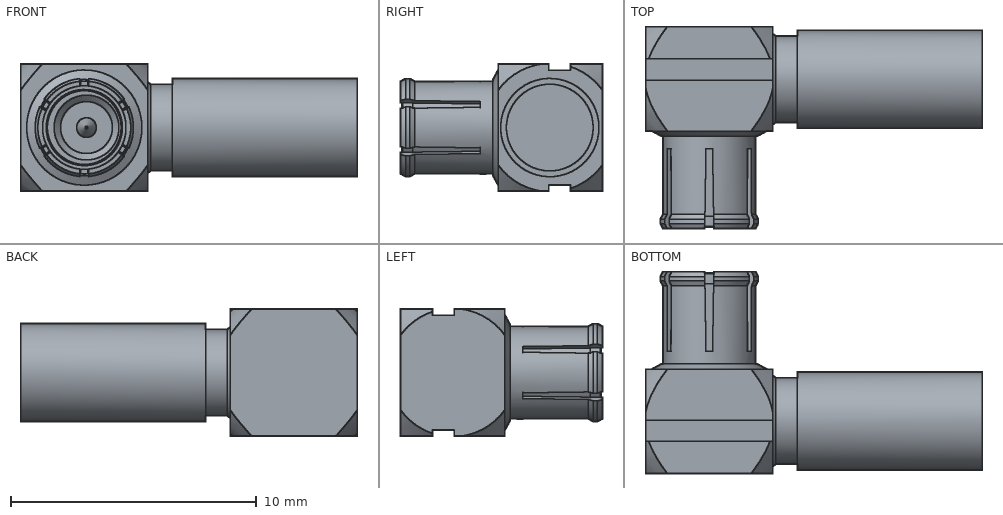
import cadquery as cq
import math


block_width = 5.18
block_depth = 4.25
corner_face_radius = 2.61
corner_cone_angle = 40
groove_width = 0.87
groove_depth = 0.25
groove_center_y = 0.38

cable_axis_y = -0.02
stem_radius = 1.765
stem_root_radius = 1.85
stem_root_length = 0.115
ferrule_radius = 2.0
ferrule_start_x = 3.58
overall_length = 13.7

overall_depth = 8.22
collar_root_radius = 2.345
collar_end_radius = 1.96
collar_length = 0.21
barrel_radius = 1.89
ridge_radius = 2.0
ridge_back_setback = 0.585
ridge_top_back_setback = 0.385
ridge_top_front_setback = 0.205

slot_count = 6
slot_root_width = 0.27
slot_tip_width = 0.37
slot_length = 3.25
finger_inner_radius = 1.7
nose_radius = 1.55
nose_chamfer = 0.05
nose_setback = 0.05
finger_gap_depth = 0.495

bore_offset_x = 0.09
bore_radius = 1.055
bore_mouth_radius = 1.32
bore_mouth_depth = 0.27
pin_radius = 0.4
pin_tip_radius = 0.05
pin_tip_setback = 0.52
pin_cone_length = 0.7

block_half = block_width / 2
block_face_y = -block_depth / 2
barrel_tip_y = block_depth / 2 - overall_depth
nose_tip_y = barrel_tip_y + nose_setback
cable_end_x = overall_length - block_half
bore_floor_y = block_face_y


def revolve_about_y(points, axis_x=0):
    """Turn a closed (radius, y) outline about the line x = axis_x parallel to Y."""
    outline = cq.Workplane("XY").polyline(points).close()
    return outline.revolve(360, (0, 0), (0, 1)).translate((axis_x, 0, 0))


def revolve_about_x(points, axis_y=0):
    """Turn a closed (x, radius) outline about the line y = axis_y parallel to X."""
    outline = cq.Workplane("XY").polyline(points).close()
    return outline.revolve(360, (0, 0), (1, 0)).translate((0, axis_y, 0))


def make_block():
    block = cq.Workplane("XY").box(block_width, block_depth, block_width)

    corner_radius = math.hypot(block_half, block_depth / 2)
    cone_rise = corner_radius - corner_face_radius
    cone_length = cone_rise / math.tan(math.radians(corner_cone_angle))
    corner_envelope = revolve_about_x([
        (-block_half, 0),
        (-block_half, corner_face_radius),
        (-block_half + cone_length, corner_radius),
        (block_half - cone_length, corner_radius),
        (block_half, corner_face_radius),
        (block_half, 0),
    ])
    block = block.intersect(corner_envelope)

    for side in (1, -1):
        groove = cq.Workplane("XY").box(block_width, groove_width, 2 * groove_depth)
        block = block.cut(groove.translate((0, groove_center_y, side * block_half)))
    return block


def make_stem():
    root_end_x = block_half + stem_root_length
    return revolve_about_x([
        (0, 0),
        (0, stem_root_radius),
        (block_half, stem_root_radius),
        (root_end_x, stem_radius),
        (cable_end_x, stem_radius),
        (cable_end_x, 0),
    ], cable_axis_y)


def make_barrel():
    collar_end_y = block_face_y - collar_length
    return revolve_about_y([
        (0, block_face_y),
        (collar_root_radius, block_face_y),
        (collar_end_radius, collar_end_y),
        (barrel_radius, collar_end_y),
        (barrel_radius, barrel_tip_y + ridge_back_setback),
        (ridge_radius, barrel_tip_y + ridge_top_back_setback),
        (ridge_radius, barrel_tip_y + ridge_top_front_setback),
        (barrel_radius, barrel_tip_y),
        (0, barrel_tip_y),
    ])


def make_finger_gap():
    """Space inside the finger tips that frees the chamfered, slightly recessed nose."""
    return revolve_about_y([
        (finger_inner_radius, barrel_tip_y),
        (finger_inner_radius, barrel_tip_y + finger_gap_depth),
        (nose_radius, barrel_tip_y + finger_gap_depth),
        (nose_radius, nose_tip_y + nose_chamfer),
        (nose_radius - nose_chamfer, nose_tip_y),
        (0, nose_tip_y),
        (0, barrel_tip_y),
    ])


def make_slots():
    """Slots that widen towards the tip and reach in to the inner radius of the fingers."""
    slot_root_y = barrel_tip_y + slot_length
    wedge = (
        cq.Workplane("XY")
        .polyline([
            (-slot_root_width / 2, slot_root_y),
            (slot_root_width / 2, slot_root_y),
            (slot_tip_width / 2, barrel_tip_y),
            (-slot_tip_width / 2, barrel_tip_y),
        ])
        .close()
        .extrude(2 * ridge_radius)
    )
    core = revolve_about_y([
        (0, slot_root_y),
        (finger_inner_radius, slot_root_y),
        (finger_inner_radius, barrel_tip_y),
        (0, barrel_tip_y),
    ])
    slot = wedge.cut(core)
    return [slot.rotate((0, 0, 0), (0, 1, 0), i * 360 / slot_count) for i in range(slot_count)]


def make_bore():
    return revolve_about_y([
        (0, bore_floor_y),
        (bore_radius, bore_floor_y),
        (bore_radius, nose_tip_y + bore_mouth_depth),
        (bore_mouth_radius, nose_tip_y),
        (0, nose_tip_y),
    ], bore_offset_x)


def make_pin():
    pin_tip_y = barrel_tip_y + pin_tip_setback
    return revolve_about_y([
        (0, 0),
        (pin_radius, 0),
        (pin_radius, pin_tip_y + pin_cone_length),
        (pin_tip_radius, pin_tip_y),
        (0, pin_tip_y),
    ], bore_offset_x)


def make_connector():
    connector = make_block().union(make_stem()).union(make_barrel())
    connector = connector.cut(make_finger_gap())
    for slot in make_slots():
        connector = connector.cut(slot)
    return connector.cut(make_bore()).union(make_pin())


def make_ferrule():
    """Crimp sleeve around the stem, flush with its end."""
    return (
        cq.Workplane("YZ", origin=(ferrule_start_x, cable_axis_y, 0))
        .circle(ferrule_radius)
        .circle(stem_radius)
        .extrude(cable_end_x - ferrule_start_x)
    )


connector = make_connector()
ferrule = make_ferrule()

result = cq.Compound.makeCompound([connector.val(), ferrule.val()])